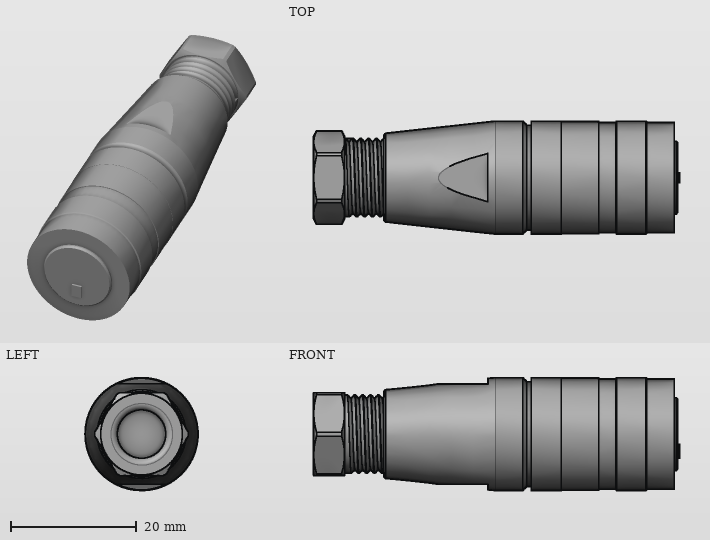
import cadquery as cq
import math


NUT_LENGTH = 5.0
NUT_ACROSS_FLATS = 13.2
NUT_CORNER_DIAMETER = 14.9
NUT_FACE_DIAMETER = 13.0
NUT_CHAMFER_ANGLE = 28.0

BORE_DIAMETER = 7.7
BORE_DEPTH = 3.0
BORE_MOUTH_RADIUS = 1.05

THREAD_DIAMETER = 12.5
THREAD_PITCH = 1.25
THREAD_DEPTH = 0.55
THREAD_GROOVE_WIDTH = 1.15
THREAD_START = 5.65
TOOL_OVERSHOOT = 0.2

BODY_DIAMETER = 18.0
NOSE_DIAMETER = 14.15
NOSE_START = 11.2
NOSE_CHAMFER = 0.3
TAPER_END = 28.9
FLAT_SPACING = 16.0
FLAT_END = 27.75

GROOVE_DIAMETER = 16.7
GROOVE_START = 33.3
GROOVE_END = 34.65
GROOVE_FLOOR_START = GROOVE_START + (BODY_DIAMETER - GROOVE_DIAMETER) / 2

SLEEVE_STEP = 39.4
SLEEVE_DIAMETER = 17.9
WAIST_START = 45.35
WAIST_DIAMETER = 17.6
GRIP_START = 48.25
GRIP_END = 52.9
GRIP_CHAMFER = 0.15
SLEEVE_END = 57.4

INSERT_DIAMETER = 11.6
INSERT_CHAMFER = 0.25
INSERT_END = 57.95
KEY_END = 58.25
KEY_HEIGHT = 2.2
KEY_WIDTH = 1.6
KEY_CENTER_Z = -2.75


def disc(start, end, diameter):
    """Solid cylinder on the X axis between two stations."""
    return cq.Workplane("YZ", origin=(start, 0, 0)).circle(diameter / 2).extrude(end - start)


def turned(points):
    """Solid of revolution about X from (station, radius) points."""
    outline = [(points[0][0], 0)] + points + [(points[-1][0], 0)]
    return cq.Workplane("XY").polyline(outline).close().revolve(360, (0, 0, 0), (1, 0, 0))


def make_nut():
    face_radius = NUT_FACE_DIAMETER / 2
    corner_radius = NUT_CORNER_DIAMETER / 2
    chamfer_length = (corner_radius - face_radius) * math.tan(math.radians(NUT_CHAMFER_ANGLE))
    corner_to_corner = NUT_ACROSS_FLATS / math.cos(math.pi / 6)
    hexagon = cq.Workplane("YZ").polygon(6, corner_to_corner).extrude(NUT_LENGTH)
    envelope = turned([
        (0, face_radius),
        (chamfer_length, corner_radius),
        (NUT_LENGTH - chamfer_length, corner_radius),
        (NUT_LENGTH, face_radius),
    ])
    return hexagon.intersect(envelope)


def make_threaded_neck():
    """Cylinder with a right-hand V groove; its far end is buried in the body."""
    neck_end = NOSE_START + 2 * THREAD_PITCH
    neck = disc(NUT_LENGTH, neck_end, THREAD_DIAMETER)
    crest = THREAD_DIAMETER / 2
    helix_length = NOSE_START + THREAD_PITCH - THREAD_START
    helix = cq.Wire.makeHelix(THREAD_PITCH, helix_length, crest)
    slope = THREAD_GROOVE_WIDTH / 2 / THREAD_DEPTH
    half_width = slope * (THREAD_DEPTH + TOOL_OVERSHOOT)
    cutter = (
        cq.Workplane("XZ")
        .polyline([
            (crest - THREAD_DEPTH, 0),
            (crest + TOOL_OVERSHOOT, half_width),
            (crest + TOOL_OVERSHOOT, -half_width),
        ])
        .close()
        .sweep(cq.Workplane(obj=helix), isFrenet=True)
    )
    cutter = cutter.rotate((0, 0, 0), (1, 1, 1), 120).translate((THREAD_START, 0, 0))
    return neck.cut(cutter)


def make_body():
    """Tapered nose, groove, coupling sleeve and insert, turned in one profile."""
    body_radius = BODY_DIAMETER / 2
    nose_radius = NOSE_DIAMETER / 2
    groove_radius = GROOVE_DIAMETER / 2
    sleeve_radius = SLEEVE_DIAMETER / 2
    waist_radius = WAIST_DIAMETER / 2
    insert_radius = INSERT_DIAMETER / 2
    return turned([
        (NOSE_START, nose_radius - NOSE_CHAMFER),
        (NOSE_START + NOSE_CHAMFER, nose_radius),
        (TAPER_END, body_radius),
        (GROOVE_START, body_radius),
        (GROOVE_FLOOR_START, groove_radius),
        (GROOVE_END, groove_radius),
        (GROOVE_END, body_radius),
        (SLEEVE_STEP, body_radius),
        (SLEEVE_STEP, sleeve_radius),
        (WAIST_START, sleeve_radius),
        (WAIST_START, waist_radius),
        (GRIP_START - GRIP_CHAMFER, waist_radius),
        (GRIP_START, body_radius),
        (GRIP_END, body_radius),
        (GRIP_END + GRIP_CHAMFER, waist_radius),
        (SLEEVE_END, waist_radius),
        (SLEEVE_END, insert_radius),
        (INSERT_END - INSERT_CHAMFER, insert_radius),
        (INSERT_END, insert_radius - INSERT_CHAMFER),
    ])


def cut_wrench_flats(part):
    """Two parallel flats, above and below, ending in a step at the wide end of the taper."""
    flat_length = FLAT_END - NOSE_START
    for side in (1, -1):
        block = cq.Workplane("XY").box(flat_length, BODY_DIAMETER, BODY_DIAMETER)
        block_center_z = side * (FLAT_SPACING + BODY_DIAMETER) / 2
        part = part.cut(block.translate((NOSE_START + flat_length / 2, 0, block_center_z)))
    return part


def cut_cable_entry(part):
    """Blind bore with a rounded mouth in the nut face."""
    bore_radius = BORE_DIAMETER / 2
    cutter = (
        cq.Workplane("XY")
        .moveTo(0, 0)
        .lineTo(0, bore_radius + BORE_MOUTH_RADIUS)
        .radiusArc((BORE_MOUTH_RADIUS, bore_radius), -BORE_MOUTH_RADIUS)
        .lineTo(BORE_DEPTH, bore_radius)
        .lineTo(BORE_DEPTH, 0)
        .close()
        .revolve(360, (0, 0, 0), (1, 0, 0))
    )
    return part.cut(cutter)


def make_key():
    return (
        cq.Workplane("YZ", origin=(SLEEVE_END, 0, KEY_CENTER_Z))
        .rect(KEY_WIDTH, KEY_HEIGHT)
        .extrude(KEY_END - SLEEVE_END)
    )


body = cut_wrench_flats(make_body()).union(make_key())
nut = cut_cable_entry(make_nut())
result = nut.union(make_threaded_neck()).union(body)

result = result.translate((-KEY_END / 2, 0, 0))